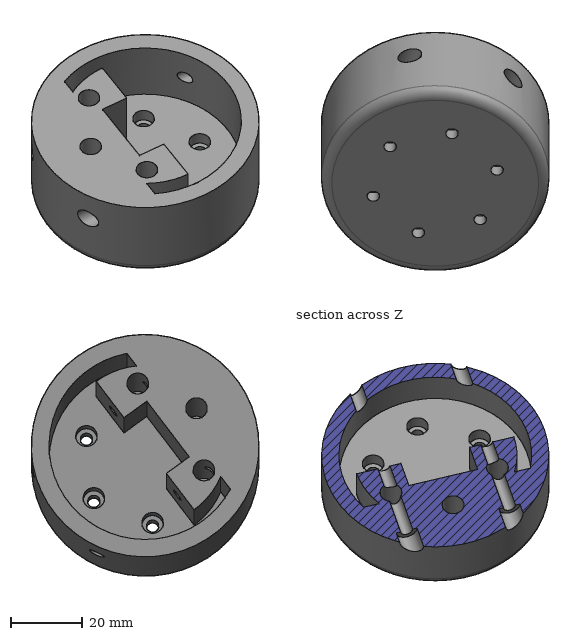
import cadquery as cq

body_diameter = 64.0
body_height = 28.0
bottom_fillet = 2.95

cavity_radius = 27.0
cavity_depth = 20.0
floor_height = body_height - cavity_depth

block_radius = 23.05
block_notch_width = 20.0
block_notch_depth = 8.0
side_gap_length = 11.7

bore_diameter = 3.45
counterbore_diameter = 6.0
bolt_circle_radius = 18.0
bolt_count = 6
bolt_seat_height = 4.0

cross_hole_offset = 15.05
cross_hole_drop = 9.85
cross_seat_y = -23.05
rear_hole_diameter = 4.0


def box_between(x_size, y_min, y_max, z_min, z_max):
    """Box centred on X between the given Y and Z limits."""
    return (
        cq.Workplane("XY", origin=(0, (y_min + y_max) / 2, z_min))
        .box(x_size, y_max - y_min, z_max - z_min, centered=(True, True, False))
    )


def make_body():
    body = cq.Workplane("XY").circle(body_diameter / 2).extrude(body_height)
    return body.faces("<Z").edges().fillet(bottom_fillet)


def make_cavity():
    """Round cavity cut off at the ends of the side gaps, less the block."""
    floor = cq.Workplane("XY", origin=(0, 0, floor_height))
    disc = floor.circle(cavity_radius).extrude(cavity_depth)
    reach = box_between(
        body_diameter, -side_gap_length, cavity_radius, floor_height, body_height
    )
    block = floor.circle(block_radius).extrude(cavity_depth).intersect(
        box_between(body_diameter, -body_diameter / 2, 0, floor_height, body_height)
    )
    notch = box_between(
        block_notch_width, -block_notch_depth, 0, floor_height, body_height
    )
    return disc.intersect(reach).cut(block.cut(notch))


def make_bolt_holes():
    """Vertical through bores with counterbores open at the top."""
    bores = (
        cq.Workplane("XY")
        .polarArray(bolt_circle_radius, 90, 360, bolt_count)
        .circle(bore_diameter / 2)
        .extrude(body_height)
    )
    counterbores = (
        cq.Workplane("XY", origin=(0, 0, bolt_seat_height))
        .polarArray(bolt_circle_radius, 90, 360, bolt_count)
        .circle(counterbore_diameter / 2)
        .extrude(body_height - bolt_seat_height)
    )
    return bores.union(counterbores)


def make_cross_hole(x):
    """Through bore along Y with a counterbore in front and a wider hole in the rear wall."""
    z = body_height - cross_hole_drop
    front_y = -body_diameter / 2
    front = cq.Workplane("XZ", origin=(x, front_y, z))
    bore = front.circle(bore_diameter / 2).extrude(-body_diameter)
    counterbore = front.circle(counterbore_diameter / 2).extrude(front_y - cross_seat_y)
    rear = cq.Workplane("XZ", origin=(x, 0, z))
    rear_hole = rear.circle(rear_hole_diameter / 2).extrude(front_y)
    return bore.union(counterbore).union(rear_hole)


result = make_body().cut(make_cavity()).cut(make_bolt_holes())
for side in (-1, 1):
    result = result.cut(make_cross_hole(side * cross_hole_offset))